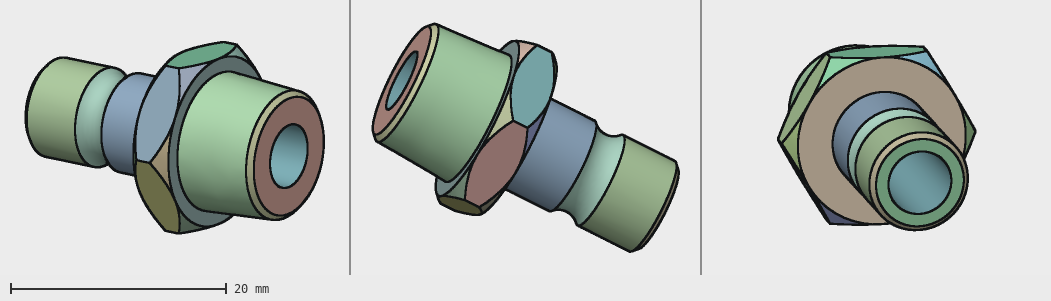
import cadquery as cq
import math

TOTAL_LENGTH = 27.0
BORE_DIAMETER = 6.0

PLUG_DIAMETER = 9.4
PLUG_CHAMFER = 0.5

GROOVE_CENTRE = 7.5
GROOVE_WIDTH = 3.0
GROOVE_DEPTH = 0.68

HEX_START = 15.0
HEX_THICKNESS = 4.0
HEX_ACROSS_FLATS = 16.0

TAPER_START_DIAMETER = 13.15
TAPER_END_DIAMETER = 12.2
TAPER_CHAMFER = 0.5

hex_end = HEX_START + HEX_THICKNESS
hex_across_corners = HEX_ACROSS_FLATS / math.cos(math.radians(30))


def make_plug():
    """Cylinder with a chamfered tip and a round-bottomed locking groove."""
    radius = PLUG_DIAMETER / 2
    half_groove = GROOVE_WIDTH / 2
    return (
        cq.Workplane("XY")
        .moveTo(0, 0)
        .lineTo(0, radius - PLUG_CHAMFER)
        .lineTo(PLUG_CHAMFER, radius)
        .lineTo(GROOVE_CENTRE - half_groove, radius)
        .threePointArc(
            (GROOVE_CENTRE, radius - GROOVE_DEPTH),
            (GROOVE_CENTRE + half_groove, radius),
        )
        .lineTo(hex_end, radius)
        .lineTo(hex_end, 0)
        .close()
        .revolve(360, (0, 0, 0), (1, 0, 0))
    )


def make_hexagon():
    """Hexagon with corners along Y, its corners trimmed by 45 degree cones on both faces."""
    prism = (
        cq.Workplane("YZ", origin=(HEX_START, 0, 0))
        .polygon(6, hex_across_corners)
        .extrude(HEX_THICKNESS)
    )
    corner_chamfer = (hex_across_corners - HEX_ACROSS_FLATS) / 2
    trimming_disc = (
        cq.Workplane("YZ", origin=(HEX_START, 0, 0))
        .circle(hex_across_corners / 2)
        .extrude(HEX_THICKNESS)
        .edges("%CIRCLE")
        .chamfer(corner_chamfer)
    )
    return prism.intersect(trimming_disc)


def make_tapered_end():
    """Cone narrowing away from the hexagon, with a chamfered end."""
    end_radius = TAPER_END_DIAMETER / 2
    return (
        cq.Workplane("XY")
        .moveTo(hex_end, 0)
        .lineTo(hex_end, TAPER_START_DIAMETER / 2)
        .lineTo(TOTAL_LENGTH - TAPER_CHAMFER, end_radius)
        .lineTo(TOTAL_LENGTH, end_radius - TAPER_CHAMFER)
        .lineTo(TOTAL_LENGTH, 0)
        .close()
        .revolve(360, (0, 0, 0), (1, 0, 0))
    )


bore = cq.Workplane("YZ").circle(BORE_DIAMETER / 2).extrude(TOTAL_LENGTH)

result = make_plug().union(make_hexagon()).union(make_tapered_end()).cut(bore)